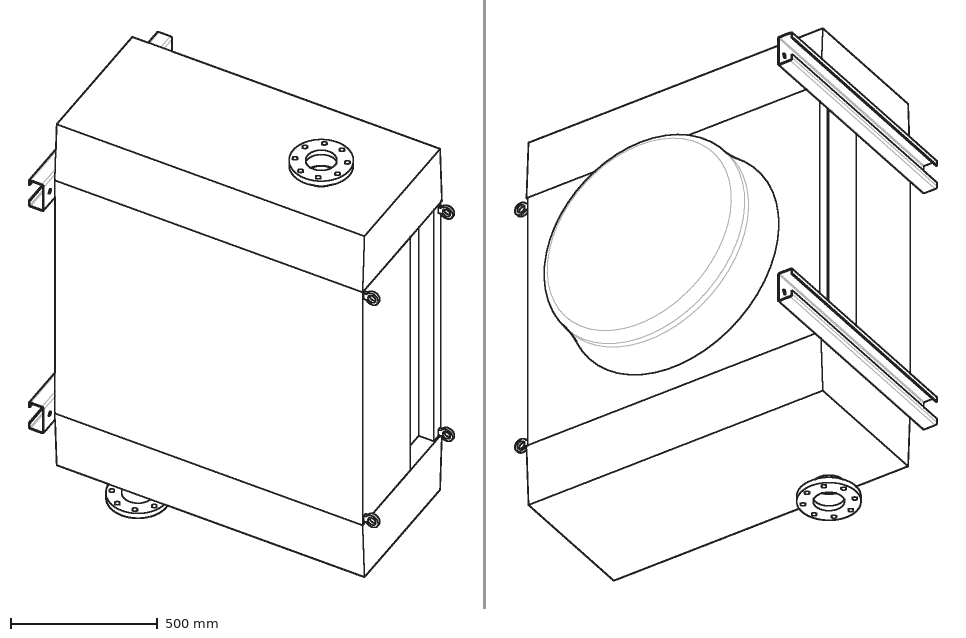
import cadquery as cq
import math


BODY_LEFT = -600.5
BODY_WIDTH = 1205.0
BODY_RIGHT = BODY_LEFT + BODY_WIDTH
BODY_CENTER_X = (BODY_LEFT + BODY_RIGHT) / 2
FRONT_Y = -371.5
BACK_Y = 182.0
SEAM_Z = 522.0
TANK_HEIGHT = 242.0
TANK_END_Z = SEAM_Z + TANK_HEIGHT
TANK_DRAFT_ANGLE = 3.0

WAIST_DEPTH = 64.0
FAN_PLATE_THICKNESS = 48.5
FAN_PLATE_INSET = 5.0
WAIST_BACK_Y = BACK_Y - FAN_PLATE_THICKNESS
WAIST_FRONT_Y = 35.0
CORE_BACK_Y = -38.0

COWL_BASE_RADIUS = 431.0
COWL_RADIUS = 406.0
COWL_FLARE_MID_RADIUS = 415.0
COWL_FLARE_MID_Y = 255.0
COWL_BAND_START_Y = 333.0
COWL_BAND_END_Y = 357.0
DOME_TOP_Y = 447.5
KNUCKLE_RADIUS = 40.0

PIPE_DIAMETER = 112.0
PIPE_BORE = 107.1
PIPE_LENGTH = 49.0
FLANGE_DIAMETER = 220.0
FLANGE_THICKNESS = 22.0
BOLT_CIRCLE = 180.0
BOLT_HOLE = 18.0
BOLT_COUNT = 8
BOLT_START_ANGLE = 180.0 / BOLT_COUNT
TOP_NOZZLE_X = 321.0
TOP_NOZZLE_Y = -155.0
BOTTOM_NOZZLE_X = -316.0
BOTTOM_NOZZLE_Y = -298.0

RAIL_LENGTH = 895.0
RAIL_HEIGHT = 120.0
RAIL_DEPTH = 60.0
RAIL_WALL = 5.0
RAIL_LIP = 24.0
RAIL_BEND_RADIUS = 8.0
RAIL_CENTER_Z = 498.0
RAIL_HOLE = 18.0
RAIL_HOLE_YS = (-406.0, 414.0)

EYE_RADIUS = 25.0
EYE_HOLE = 30.0
EYE_THICKNESS = 12.0
EYE_REACH = 56.0
EYE_NECK_HEIGHT = 26.0
EYE_YS = (-357.0, 163.0)

LEVELS = (RAIL_CENTER_Z, -RAIL_CENTER_Z)


def make_cowl():
    """Flared cowl whose shallow spherical dome runs tangentially into a knuckle at the rim."""
    dome_height = DOME_TOP_Y - COWL_BAND_END_Y
    knuckle_center_r = COWL_RADIUS - KNUCKLE_RADIUS
    dome_radius = (knuckle_center_r**2 + dome_height**2 - KNUCKLE_RADIUS**2) / (
        2 * (dome_height - KNUCKLE_RADIUS)
    )
    dome_center_y = DOME_TOP_Y - dome_radius
    shoulder_angle = math.asin(knuckle_center_r / (dome_radius - KNUCKLE_RADIUS))
    knuckle_mid_angle = (shoulder_angle + math.pi / 2) / 2

    def dome_point(angle):
        return (dome_center_y + dome_radius * math.cos(angle), dome_radius * math.sin(angle))

    knuckle_mid = (
        COWL_BAND_END_Y + KNUCKLE_RADIUS * math.cos(knuckle_mid_angle),
        knuckle_center_r + KNUCKLE_RADIUS * math.sin(knuckle_mid_angle),
    )
    return (
        cq.Workplane("YZ", origin=(BODY_CENTER_X, 0, 0))
        .moveTo(BACK_Y, 0)
        .lineTo(BACK_Y, COWL_BASE_RADIUS)
        .threePointArc((COWL_FLARE_MID_Y, COWL_FLARE_MID_RADIUS), (COWL_BAND_START_Y, COWL_RADIUS))
        .lineTo(COWL_BAND_END_Y, COWL_RADIUS)
        .threePointArc(knuckle_mid, dome_point(shoulder_angle))
        .threePointArc(dome_point(shoulder_angle / 2), (DOME_TOP_Y, 0))
        .close()
        .revolve(360, (0, 0, 0), (1, 0, 0))
    )


def make_core():
    """Core block, waisted shroud, fan plate and domed cowl as one body."""
    half = BODY_WIDTH / 2
    plate_half = half - FAN_PLATE_INSET
    waist_half = half - WAIST_DEPTH
    right_side = [
        (half, FRONT_Y),
        (half, CORE_BACK_Y),
        (waist_half, WAIST_FRONT_Y),
        (waist_half, WAIST_BACK_Y),
        (plate_half, WAIST_BACK_Y),
        (plate_half, BACK_Y),
    ]
    left_side = [(-x, y) for x, y in reversed(right_side)]
    block = (
        cq.Workplane("XY", origin=(BODY_CENTER_X, 0, -SEAM_Z))
        .polyline(right_side + left_side)
        .close()
        .extrude(2 * SEAM_Z)
    )
    return block.union(make_cowl())


def make_tank(nozzle_x, nozzle_y):
    """Tank drafted on its two Y faces, with a flanged nozzle on its upper end."""
    draft = TANK_HEIGHT * math.tan(math.radians(TANK_DRAFT_ANGLE))
    shell = (
        cq.Workplane("YZ", origin=(BODY_LEFT, 0, 0))
        .polyline([
            (FRONT_Y, SEAM_Z),
            (BACK_Y, SEAM_Z),
            (BACK_Y - draft, TANK_END_Z),
            (FRONT_Y + draft, TANK_END_Z),
        ])
        .close()
        .extrude(BODY_WIDTH)
    )
    base = cq.Workplane("XY", origin=(nozzle_x, nozzle_y, TANK_END_Z))
    flange_plane = base.workplane(offset=PIPE_LENGTH)
    pipe = base.circle(PIPE_DIAMETER / 2).extrude(PIPE_LENGTH)
    flange = flange_plane.circle(FLANGE_DIAMETER / 2).extrude(FLANGE_THICKNESS)
    bore = base.circle(PIPE_BORE / 2).extrude(PIPE_LENGTH + FLANGE_THICKNESS)
    bolt_holes = (
        flange_plane.polarArray(BOLT_CIRCLE / 2, BOLT_START_ANGLE, 360, BOLT_COUNT)
        .circle(BOLT_HOLE / 2)
        .extrude(FLANGE_THICKNESS)
    )
    return shell.union(pipe).union(flange).cut(bore).cut(bolt_holes)


def make_rail(center_z):
    """Lipped channel along Y with rounded bends and a bolt hole near each end."""
    inner_height = RAIL_HEIGHT - 2 * RAIL_WALL
    inner_depth = RAIL_DEPTH - 2 * RAIL_WALL
    mouth = RAIL_HEIGHT - 2 * RAIL_LIP
    center_x = BODY_LEFT - RAIL_DEPTH / 2
    center = cq.Workplane("XY", origin=(center_x, 0, center_z))
    inside = center.box(inner_depth, RAIL_LENGTH, inner_height)
    inside = inside.edges("|Y").fillet(RAIL_BEND_RADIUS - RAIL_WALL)
    opening = center.center(-RAIL_DEPTH / 2, 0).box(RAIL_DEPTH, RAIL_LENGTH, mouth)
    rail = center.box(RAIL_DEPTH, RAIL_LENGTH, RAIL_HEIGHT)
    rail = rail.edges("|Y").fillet(RAIL_BEND_RADIUS)
    rail = rail.cut(inside).cut(opening)
    holes = (
        cq.Workplane("YZ", origin=(center_x, 0, center_z))
        .pushPoints([(y, 0) for y in RAIL_HOLE_YS])
        .circle(RAIL_HOLE / 2)
        .extrude(RAIL_DEPTH)
    )
    return rail.cut(holes)


def make_eye(y, z):
    """Flat ring on a short neck, standing on the +X face."""
    ring_x = EYE_REACH - EYE_RADIUS
    plane = cq.Workplane("XZ", origin=(BODY_RIGHT, y + EYE_THICKNESS / 2, z))
    neck = plane.center(ring_x / 2, 0).rect(ring_x, EYE_NECK_HEIGHT).extrude(EYE_THICKNESS)
    ring = plane.center(ring_x, 0).circle(EYE_RADIUS).extrude(EYE_THICKNESS)
    hole = plane.center(ring_x, 0).circle(EYE_HOLE / 2).extrude(EYE_THICKNESS)
    return neck.union(ring).cut(hole)


core = make_core()
top_tank = make_tank(TOP_NOZZLE_X, TOP_NOZZLE_Y)
bottom_tank = make_tank(BOTTOM_NOZZLE_X, BOTTOM_NOZZLE_Y).mirror("XY")
rails = [make_rail(z) for z in LEVELS]
eyes = [make_eye(y, z) for y in EYE_YS for z in LEVELS]

result = cq.Compound.makeCompound([
    core.val(),
    top_tank.val(),
    bottom_tank.val(),
    *[rail.val() for rail in rails],
    *[eye.val() for eye in eyes],
])